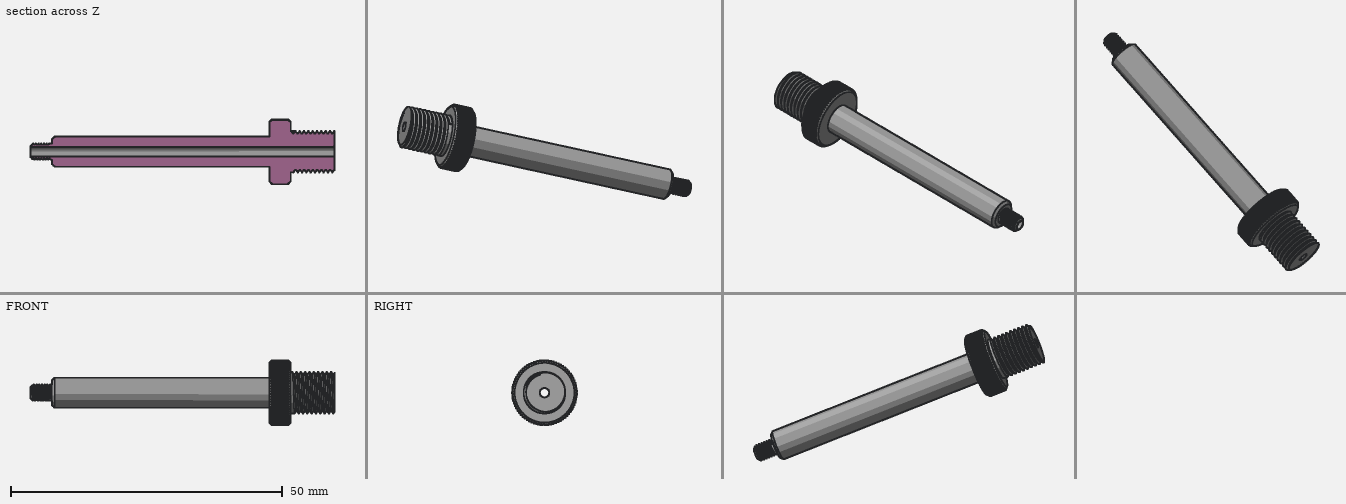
import cadquery as cq
import math

nipple_length = 4.0
shaft_length = 40.0
flange_length = 4.0
total_length = 56.0
shaft_start = nipple_length
flange_start = shaft_start + shaft_length
flange_end = flange_start + flange_length

bore_diameter = 1.7
nipple_diameter = 3.0
shaft_diameter = 5.6
flange_diameter = 12.0
stud_diameter = 7.7
nipple_chamfer = 0.5
edge_chamfer = 0.5

nipple_pitch = 0.5
nipple_groove_depth = 0.2
nipple_groove_end = 3.6
nipple_groove_end_angle = 225
stud_groove_start = 48.4
stud_groove_length = 8.75
stud_groove_turns = 11
stud_pitch = stud_groove_length / stud_groove_turns
stud_groove_depth = 0.45
stud_start_angle = 0
root_flat_ratio = 0.15
crest_flat_ratio = 0.05
groove_overrun = 0.55
groove_clearance = 0.05

knurl_count = 75
knurl_depth = 0.195
knurl_land_ratio = 0.35
knurl_root_ratio = 0.1


def cylinder(start, length, diameter):
    """Solid cylinder on the X axis."""
    return cq.Workplane("YZ", origin=(start, 0, 0)).circle(diameter / 2).extrude(length)


def thread_groove(start, length, pitch, diameter, depth, start_angle):
    """Right-hand helical groove; start_angle is measured from +Y toward +Z."""
    root_radius = diameter / 2 - depth
    outer_radius = diameter / 2 + groove_clearance
    half_root = pitch * root_flat_ratio / 2
    half_mouth = pitch * (1 - crest_flat_ratio) / 2
    half_outer = half_mouth + (half_mouth - half_root) * groove_clearance / depth
    helix = cq.Wire.makeHelix(pitch, length, root_radius)
    groove = (
        cq.Workplane("XZ")
        .polyline([
            (root_radius, -half_root),
            (outer_radius, -half_outer),
            (outer_radius, half_outer),
            (root_radius, half_root),
        ])
        .close()
        .sweep(cq.Workplane(obj=helix), isFrenet=True)
    )
    groove = groove.rotate((0, 0, 0), (1, 1, 1), 120)
    return groove.rotate((0, 0, 0), (1, 0, 0), start_angle).translate((start, 0, 0))


def make_nipple():
    """Threaded nipple, cut from an overlong blank so that the groove runs out at the tip."""
    length = nipple_groove_end + groove_overrun
    groove_start = nipple_groove_end - length
    turns = length / nipple_pitch
    start_angle = nipple_groove_end_angle - 360 * turns
    groove = thread_groove(
        groove_start, length, nipple_pitch, nipple_diameter, nipple_groove_depth, start_angle
    )
    blank_start = groove_start - groove_overrun
    blank = cylinder(blank_start, nipple_length - blank_start, nipple_diameter)
    outline = cylinder(0, nipple_length, nipple_diameter).faces("<X").chamfer(nipple_chamfer)
    return blank.cut(groove).intersect(outline)


def make_stud():
    """Threaded stud, cut from an overlong blank so that the groove runs out at the end face."""
    groove = thread_groove(
        stud_groove_start, stud_groove_length,
        stud_pitch, stud_diameter, stud_groove_depth, stud_start_angle
    )
    blank_end = stud_groove_start + stud_groove_length + groove_overrun
    blank = cylinder(flange_end, blank_end - flange_end, stud_diameter)
    outline = cylinder(flange_end, total_length - flange_end, stud_diameter)
    return blank.cut(groove).intersect(outline)


def make_flange():
    """Chamfered disc with axial grooves around its rim."""
    tip_radius = flange_diameter / 2
    root_radius = tip_radius - knurl_depth
    step = 2 * math.pi / knurl_count
    half_land = step * knurl_land_ratio / 2
    half_root = step * knurl_root_ratio / 2
    corners = (
        (tip_radius, -half_land),
        (tip_radius, half_land),
        (root_radius, step / 2 - half_root),
        (root_radius, step / 2 + half_root),
    )
    points = []
    for index in range(knurl_count):
        angle = math.pi + index * step
        for radius, turn in corners:
            points.append((radius * math.cos(angle + turn), radius * math.sin(angle + turn)))
    rim = cq.Workplane("YZ", origin=(flange_start, 0, 0)).polyline(points).close().extrude(flange_length)
    disc = cylinder(flange_start, flange_length, flange_diameter).faces("<X or >X").chamfer(edge_chamfer)
    return disc.intersect(rim)


shaft = cylinder(shaft_start, shaft_length, shaft_diameter).faces("<X").chamfer(edge_chamfer)
body = shaft.union(make_flange()).union(make_nipple()).union(make_stud())
result = body.cut(cylinder(0, total_length, bore_diameter))